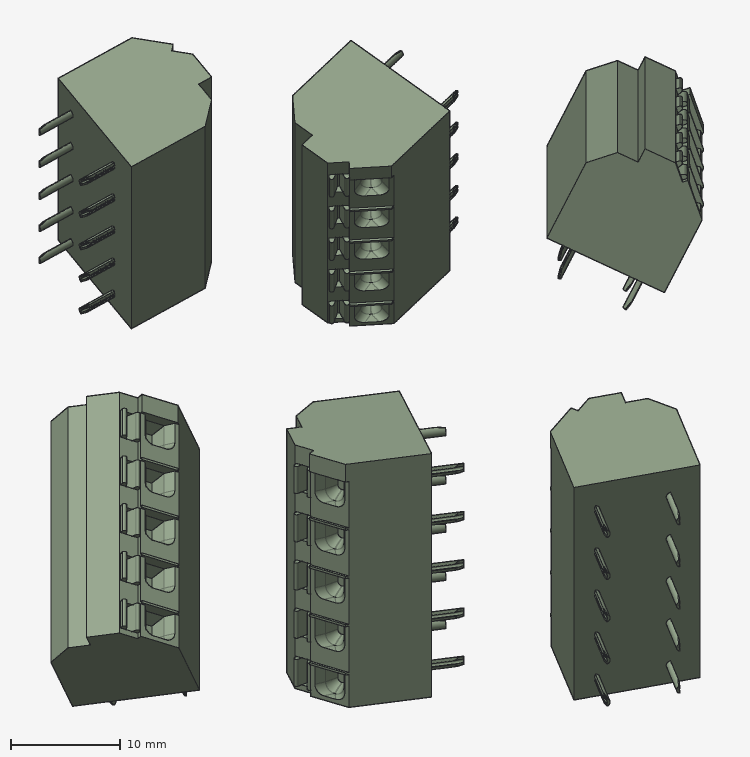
import cadquery as cq
import math

LENGTH = 25.63
WIDTH = 12.0
DEPTH = 11.75
SHOULDER_HEIGHT = 8.15
ENTRY_SLOPE_LENGTH = 3.85
NOTCH_DEPTH = 0.75
STEP_HEIGHT = 10.3
STEP_X = 7.75

POLE_COUNT = 5
POLE_PITCH = 5.07
RECESS_TOP_MARGIN = 1.87
RECESS_DEPTH = 0.23
RIB_THICKNESS = 0.23

ENTRY_CENTRE = 1.8
MOUTH_WIDTH = 3.18
THROAT_WIDTH = 1.95
MOUTH_DEPTH = 0.87
ENTRY_HEIGHT = 3.0
ENTRY_RADIUS = 0.95
THROAT_DEPTH = 1.28
THROAT_TAPER = 23.0

BUTTON_WIDTH = 1.85
BUTTON_RISE = 0.38
JAW_CROWN = 0.15
BUTTON_HEIGHT = 2.85
BUTTON_TOP_GAP = 0.03
SLOT_MOUTH_WIDTH = 0.97
SLOT_FLOOR_WIDTH = 0.2
SLOT_DEPTH = 1.03

PIN_LENGTH = 3.6
PIN_BACKS = ((2.45, 1), (8.77, -1))
PIN_BELOW_RECESS_TOP = 1.28
PIN_DEPTH = 0.5
PIN_SHOULDER = 0.4
PIN_HALF_HEIGHT = 0.5
PIN_BACK_THICKNESS = 0.25
PIN_GROOVE_HALF = 0.192
PIN_GROOVE_ARC = 0.38
PIN_TIP_LENGTH = 0.95
PIN_TIP_DEPTH = 0.3
PIN_TIP_HALF_HEIGHT = 0.4


def slope_plane(z):
    """Plane at height z: local X climbs the 45 degree shoulder, local Y points out of it."""
    return cq.Plane(origin=(0, SHOULDER_HEIGHT, z), xDir=(1, 1, 0), normal=(0, 0, 1))


def make_housing():
    diagonal = math.sqrt(0.5)
    peak = ENTRY_SLOPE_LENGTH * diagonal
    notch_step = NOTCH_DEPTH * diagonal
    notch = (peak + notch_step, SHOULDER_HEIGHT + peak - notch_step)
    right_slope_run = STEP_HEIGHT - SHOULDER_HEIGHT
    outline = [
        (0, 0),
        (0, SHOULDER_HEIGHT),
        (peak, SHOULDER_HEIGHT + peak),
        notch,
        (notch[0] + DEPTH - notch[1], DEPTH),
        (STEP_X, DEPTH),
        (STEP_X, STEP_HEIGHT),
        (WIDTH - right_slope_run, STEP_HEIGHT),
        (WIDTH, SHOULDER_HEIGHT),
        (WIDTH, 0),
    ]
    return cq.Workplane("XY").polyline(outline).close().extrude(LENGTH)


def make_recess(top):
    """Shallow slab removed from the entry slope, running out through the side face."""
    height = POLE_PITCH - RIB_THICKNESS
    overrun = 2 * RECESS_DEPTH
    return (
        cq.Workplane(slope_plane(top - height))
        .moveTo(-overrun, -RECESS_DEPTH)
        .lineTo(ENTRY_SLOPE_LENGTH, -RECESS_DEPTH)
        .lineTo(ENTRY_SLOPE_LENGTH, overrun)
        .lineTo(-overrun, overrun)
        .close()
        .extrude(height)
    )


def entry_section(depth, width, bottom, top, radius):
    """Flat-topped wire with rounded bottom corners, at a depth below the recess face."""
    origin = slope_plane(0).toWorldCoords((ENTRY_CENTRE, -RECESS_DEPTH - depth, 0))
    plane = cq.Plane(origin=origin, xDir=(1, 1, 0), normal=(1, -1, 0))
    half = width / 2
    flat = half - radius
    arc_middle = radius * math.sqrt(0.5)
    arc_centre = bottom + radius
    return (
        cq.Workplane(plane)
        .moveTo(-half, top)
        .lineTo(-half, arc_centre)
        .threePointArc((-flat - arc_middle, arc_centre - arc_middle), (-flat, bottom))
        .lineTo(flat, bottom)
        .threePointArc((flat + arc_middle, arc_centre - arc_middle), (half, arc_centre))
        .lineTo(half, top)
        .close()
        .val()
    )


def make_wire_entry(top):
    bottom = top - ENTRY_HEIGHT
    inset = THROAT_DEPTH * math.tan(math.radians(THROAT_TAPER))
    mouth = entry_section(0, MOUTH_WIDTH, bottom, top, ENTRY_RADIUS)
    throat = entry_section(MOUTH_DEPTH, THROAT_WIDTH, bottom, top, ENTRY_RADIUS)
    end = entry_section(
        MOUTH_DEPTH + THROAT_DEPTH,
        THROAT_WIDTH - 2 * inset,
        bottom + inset,
        top - inset,
        ENTRY_RADIUS - inset,
    )
    flare = cq.Solid.makeLoft([mouth, throat], True)
    taper = cq.Solid.makeLoft([throat, end], True)
    return cq.Workplane(flare).union(cq.Workplane(taper))


def button_plane(top):
    """Lower end of a button; local X runs across it, local Y out of the notch wall."""
    plane = slope_plane(top - BUTTON_TOP_GAP - BUTTON_HEIGHT)
    centre = ENTRY_SLOPE_LENGTH + BUTTON_WIDTH / 2
    plane.origin = plane.toWorldCoords((centre, -NOTCH_DEPTH, 0))
    return plane


def make_jaw(top, side):
    """One jaw, rooted in the housing down to the slot floor; side is -1 or 1."""
    outer = side * BUTTON_WIDTH / 2
    lip = side * SLOT_MOUTH_WIDTH / 2
    root = side * SLOT_FLOOR_WIDTH / 2
    floor = BUTTON_RISE - SLOT_DEPTH
    return (
        cq.Workplane(button_plane(top))
        .moveTo(root, floor)
        .lineTo(lip, BUTTON_RISE)
        .threePointArc(((lip + outer) / 2, BUTTON_RISE + JAW_CROWN), (outer, BUTTON_RISE))
        .lineTo(outer, floor)
        .close()
        .extrude(BUTTON_HEIGHT)
    )


def make_slot(top):
    mouth_half = SLOT_MOUTH_WIDTH / 2
    floor_half = SLOT_FLOOR_WIDTH / 2
    floor = BUTTON_RISE - SLOT_DEPTH
    outline = [
        (-mouth_half, BUTTON_RISE),
        (-floor_half, floor),
        (floor_half, floor),
        (mouth_half, BUTTON_RISE),
    ]
    return cq.Workplane(button_plane(top)).polyline(outline).close().extrude(BUTTON_HEIGHT)


def make_pin(back_x, facing, z):
    """Curled channel pin; facing is the X direction in which its closed back points."""

    def at(depth, height):
        return (back_x - facing * depth, z + height)

    channel = (
        cq.Workplane("XZ")
        .moveTo(*at(PIN_SHOULDER, PIN_HALF_HEIGHT))
        .threePointArc(at(0, 0), at(PIN_SHOULDER, -PIN_HALF_HEIGHT))
        .lineTo(*at(PIN_DEPTH, -PIN_GROOVE_HALF))
        .lineTo(*at(PIN_GROOVE_ARC, -PIN_GROOVE_HALF))
        .threePointArc(at(PIN_BACK_THICKNESS, 0), at(PIN_GROOVE_ARC, PIN_GROOVE_HALF))
        .lineTo(*at(PIN_DEPTH, PIN_GROOVE_HALF))
        .close()
        .extrude(PIN_LENGTH)
    )

    taper_start = -PIN_LENGTH + PIN_TIP_LENGTH
    side_envelope = (
        cq.Workplane("XY", origin=(0, 0, z - PIN_HALF_HEIGHT))
        .polyline([
            (back_x, 0),
            (back_x, -PIN_LENGTH),
            (back_x - facing * PIN_TIP_DEPTH, -PIN_LENGTH),
            (back_x - facing * PIN_DEPTH, taper_start),
            (back_x - facing * PIN_DEPTH, 0),
        ])
        .close()
        .extrude(2 * PIN_HALF_HEIGHT)
    )
    edge_envelope = (
        cq.Workplane("YZ", origin=(back_x, 0, z))
        .polyline([
            (0, PIN_HALF_HEIGHT),
            (taper_start, PIN_HALF_HEIGHT),
            (-PIN_LENGTH, PIN_TIP_HALF_HEIGHT),
            (-PIN_LENGTH, -PIN_TIP_HALF_HEIGHT),
            (taper_start, -PIN_HALF_HEIGHT),
            (0, -PIN_HALF_HEIGHT),
        ])
        .close()
        .extrude(PIN_DEPTH, both=True)
    )
    return channel.intersect(side_envelope).intersect(edge_envelope)


result = make_housing()
for pole in range(POLE_COUNT):
    recess_top = LENGTH - RECESS_TOP_MARGIN - pole * POLE_PITCH
    result = result.cut(make_recess(recess_top)).cut(make_wire_entry(recess_top))
    for side in (-1, 1):
        result = result.union(make_jaw(recess_top, side))
    result = result.cut(make_slot(recess_top))
    for back_x, facing in PIN_BACKS:
        result = result.union(make_pin(back_x, facing, recess_top - PIN_BELOW_RECESS_TOP))